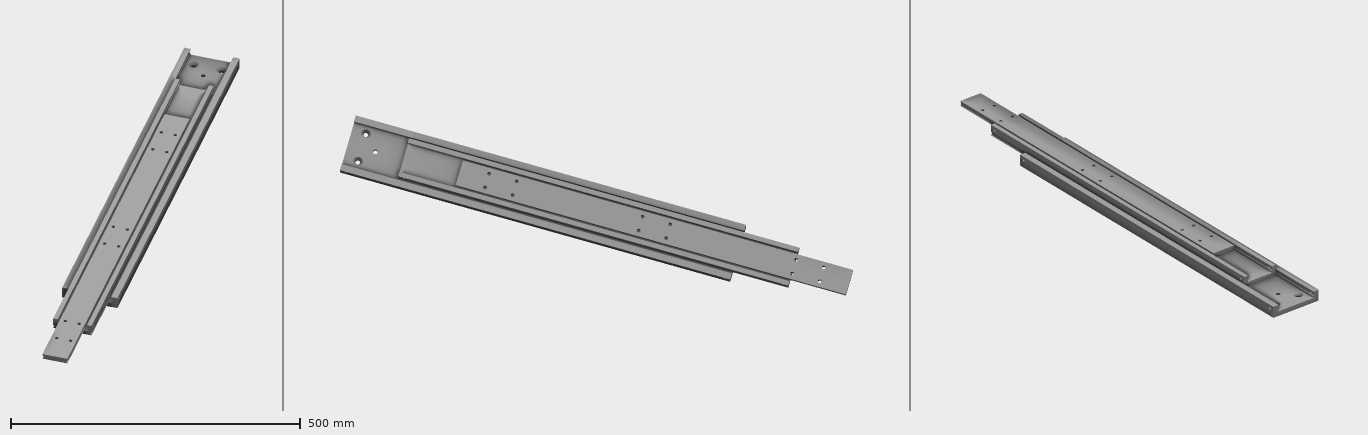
import cadquery as cq

extended_length = 900.0
stagger = 100.0
rail_length = extended_length - 2 * stagger

outer_height = 22.0
inner_height = 10.0
middle_height = 21.0
channel_depth = 13.0
running_gap = channel_depth - inner_height
outer_base = 0.0
middle_base = outer_height - channel_depth + running_gap
inner_base = middle_base + middle_height - inner_height

outer_width = 100.0
middle_width = 69.0
inner_width = 45.0
side_gap = 4.05
outer_channel_width = middle_width + 2 * side_gap
middle_channel_width = inner_width + 2 * side_gap

track_radius = 3.9
track_drop = 6.0
outer_track_x = (middle_width + side_gap) / 2
middle_track_x = (inner_width + side_gap) / 2
outer_track_z = outer_base + outer_height - track_drop
middle_track_z = middle_base + middle_height - track_drop

cross_hole_diameter = 5.0
cross_hole_inset = 10.0

mount_hole_diameter = 8.0
mount_sink_diameter = 17.0
mount_sink_angle = 90.0
mount_hole_pitch = 50.0
mount_hole_inset = 25.0
locating_hole_diameter = 8.0
locating_hole_inset = 49.5

fixing_hole_diameter = 6.0
fixing_pitch_x = 25.0
fixing_pitch_y = 49.5
fixing_group_spacing = 275.0

outer_y = stagger
middle_y = 0.0
inner_y = -stagger


def bar(width, height, base, y):
    """Rectangular bar of one rail length, standing on Z = base."""
    return cq.Workplane("XY", origin=(0, y, base)).rect(width, rail_length).extrude(height)


def channel_cut(width, top, y):
    """Channel volume that opens at Z = top."""
    return bar(width, channel_depth, top - channel_depth, y)


def ball_tracks(track_x, track_z, y):
    """Two round bars, one on each side, that hollow out the ball tracks of one rail."""
    return (
        cq.Workplane("XZ", origin=(0, y, track_z))
        .pushPoints([(-track_x, 0), (track_x, 0)])
        .circle(track_radius)
        .extrude(rail_length / 2, both=True)
    )


def cross_holes(width, track_z, y):
    """Two round bars across X that pierce both channel walls near the rail ends."""
    reach = rail_length / 2 - cross_hole_inset
    return (
        cq.Workplane("YZ", origin=(0, y, track_z))
        .pushPoints([(-reach, 0), (reach, 0)])
        .circle(cross_hole_diameter / 2)
        .extrude(width / 2, both=True)
    )


def make_outer_rail():
    top = outer_base + outer_height
    floor = top - channel_depth
    rail_end = outer_y + rail_length / 2
    rail = (
        bar(outer_width, outer_height, outer_base, outer_y)
        .cut(channel_cut(outer_channel_width, top, outer_y))
        .cut(ball_tracks(outer_track_x, outer_track_z, outer_y))
        .cut(cross_holes(outer_width, outer_track_z, outer_y))
    )
    half_pitch = mount_hole_pitch / 2
    mount_y = rail_end - mount_hole_inset
    return (
        rail.copyWorkplane(cq.Workplane("XY", origin=(0, 0, floor)))
        .pushPoints([(-half_pitch, mount_y), (half_pitch, mount_y)])
        .cskHole(mount_hole_diameter, mount_sink_diameter, mount_sink_angle)
        .copyWorkplane(cq.Workplane("XY", origin=(0, rail_end - locating_hole_inset, floor)))
        .hole(locating_hole_diameter)
    )


def make_middle_rail():
    top = middle_base + middle_height
    return (
        bar(middle_width, middle_height, middle_base, middle_y)
        .cut(channel_cut(middle_channel_width, top, middle_y))
        .cut(ball_tracks(middle_track_x, middle_track_z, middle_y))
        .cut(ball_tracks(outer_track_x, outer_track_z, middle_y))
        .cut(cross_holes(middle_width, middle_track_z, middle_y))
    )


def make_inner_rail():
    rail = bar(inner_width, inner_height, inner_base, inner_y).cut(
        ball_tracks(middle_track_x, middle_track_z, inner_y)
    )
    for group in (-1, 0, 1):
        group_y = inner_y + group * fixing_group_spacing
        rail = (
            rail.copyWorkplane(cq.Workplane("XY", origin=(0, group_y, inner_base + inner_height)))
            .rect(fixing_pitch_x, fixing_pitch_y, forConstruction=True)
            .vertices()
            .hole(fixing_hole_diameter)
        )
    return rail


outer_rail = make_outer_rail()
middle_rail = make_middle_rail()
inner_rail = make_inner_rail()

result = cq.Compound.makeCompound([outer_rail.val(), middle_rail.val(), inner_rail.val()])